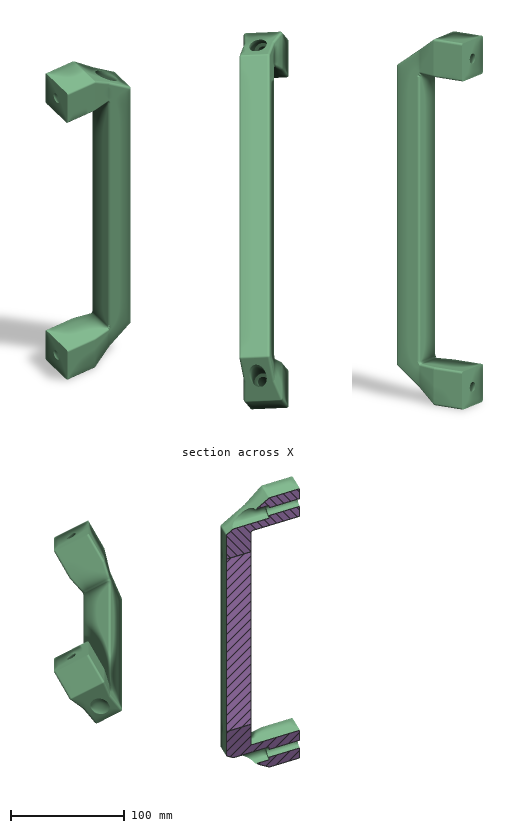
import cadquery as cq

length = 335.0
depth = 71.0
foot_width = 35.0
foot_height = 35.0

bar_width = 27.5
bar_thickness = 24.0
grip_length = 215.0

foot_straight = 29.5
slope_drop = 30.0
inner_corner_radius = 1.7
edge_radius = 2.0

screw_hole_diameter = 9.0
screw_head_diameter = 15.5
screw_head_seat = 29.8
screw_inset = 17.5

front_y = -depth / 2
back_y = depth / 2
bar_inner_y = back_y - bar_thickness
taper_start_y = front_y + foot_straight
half_length = length / 2
half_grip = grip_length / 2
foot_inner_z = half_length - foot_height
screw_z = half_length - screw_inset


def make_side_profile():
    """Corner bracket outline in the YZ plane, as wide as the foot."""
    plate = (
        cq.Workplane("YZ")
        .moveTo(front_y, half_length)
        .lineTo(taper_start_y, half_length)
        .lineTo(back_y, half_length - slope_drop)
        .lineTo(back_y, half_grip)
        .lineTo(bar_inner_y, half_grip)
        .lineTo(bar_inner_y, foot_inner_z)
        .lineTo(front_y, foot_inner_z)
        .close()
        .extrude(foot_width / 2, both=True)
    )
    inner_corner = cq.selectors.NearestToPointSelector((0, bar_inner_y, foot_inner_z))
    return plate.edges("|X").edges(inner_corner).fillet(inner_corner_radius)


def make_plan_prism():
    """Width outline in the XY plane: wide foot tapering to the bar."""
    half_foot = foot_width / 2
    half_bar = bar_width / 2
    return (
        cq.Workplane("XY")
        .moveTo(-half_foot, front_y)
        .lineTo(half_foot, front_y)
        .lineTo(half_foot, taper_start_y)
        .lineTo(half_bar, bar_inner_y)
        .lineTo(half_bar, back_y)
        .lineTo(-half_bar, back_y)
        .lineTo(-half_bar, bar_inner_y)
        .lineTo(-half_foot, taper_start_y)
        .close()
        .extrude(half_length)
    )


def round_outer_edges(body):
    """Round all edges but the end faces, the inner corner and the upright seams between side faces."""
    flush = 0.05

    def is_outer_edge(edge):
        box = edge.BoundingBox()
        on_end_face = box.ymax < front_y + flush or box.zmax < half_grip + flush
        before_bar = box.ymax < bar_inner_y + flush
        across_width = box.xmin * box.xmax <= 0
        at_inner_corner = across_width and before_bar and box.zmax < foot_inner_z + flush
        side_seam = not across_width and before_bar and box.ylen < flush
        upright_seam = side_seam and box.zmax > foot_inner_z + flush
        return not (on_end_face or at_inner_corner or upright_seam)

    outer_edges = [edge for edge in body.edges().vals() if is_outer_edge(edge)]
    return body.newObject(outer_edges).fillet(edge_radius)


def screw_cylinder(diameter, start_y):
    """Cylinder along +Y at the screw position, long enough to leave the bracket."""
    return (
        cq.Workplane("XZ", origin=(0, start_y, screw_z))
        .circle(diameter / 2)
        .extrude(-depth)
    )


def make_bracket():
    """Upper corner bracket with its screw hole and screw head recess."""
    body = round_outer_edges(make_side_profile().intersect(make_plan_prism()))
    body = body.cut(screw_cylinder(screw_hole_diameter, front_y))
    return body.cut(screw_cylinder(screw_head_diameter, front_y + screw_head_seat))


def make_grip():
    """Straight bar between the brackets."""
    return (
        cq.Workplane("XY")
        .box(bar_width, bar_thickness, grip_length)
        .edges("|Z")
        .fillet(edge_radius)
        .translate((0, back_y - bar_thickness / 2, 0))
    )


brackets = []
for turn in (0, 180):
    brackets.append(make_bracket().rotate((0, 0, 0), (0, 1, 0), turn).val())

grip = make_grip()

result = cq.Compound.makeCompound([grip.val(), *brackets])